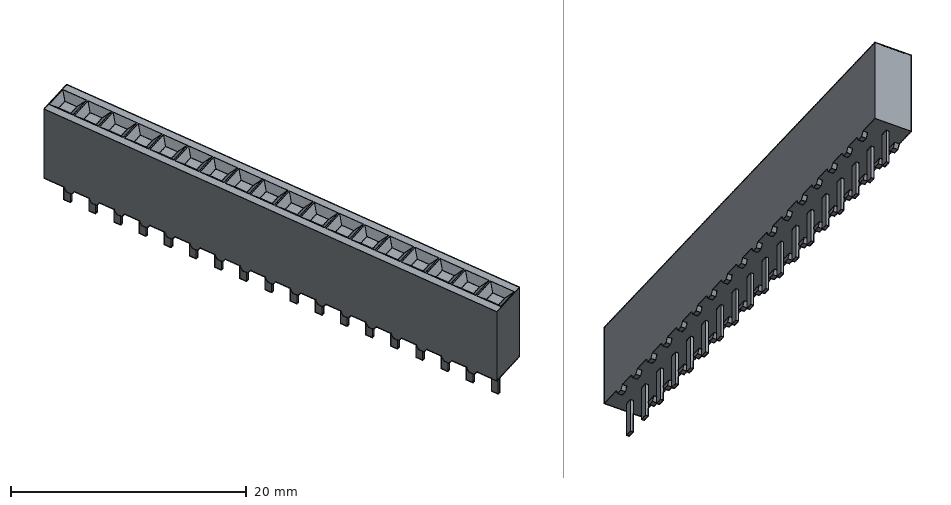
import cadquery as cq

length = 45.7
width = 3.55
total_height = 11.55
contact_count = 18
pitch = length / contact_count

pin_length = 3.4
pin_width = 0.7
pin_thickness = 0.27
body_height = total_height - pin_length

divider = 0.15
mouth_length = pitch - divider
mouth_width = 2.15
socket_depth = 0.6
floor_length = mouth_length - 2 * socket_depth
floor_width = mouth_width - 2 * socket_depth

foot_height = 0.435
foot_depth = 0.45
foot_root = 1.05
foot_tip = 0.55

contact_positions = [((i + 0.5) * pitch - length / 2, 0) for i in range(contact_count)]


def housing():
    """Plain block with its underside at Z = 0."""
    return cq.Workplane("XY").box(length, width, body_height, centered=(True, True, False))


def sockets():
    """Tapered lead-ins, one over each contact."""
    return (
        cq.Workplane("XY", origin=(0, 0, body_height))
        .pushPoints(contact_positions)
        .eachpoint(lambda place: socket().moved(place))
    )


def socket():
    """One lead-in, its mouth on the local XY plane and its floor below."""
    return (
        cq.Workplane("XY")
        .rect(mouth_length, mouth_width)
        .workplane(offset=-socket_depth)
        .rect(floor_length, floor_width)
        .loft(ruled=True)
        .val()
    )


def pins():
    """Flat solder tails, one under each contact."""
    return (
        cq.Workplane("XY")
        .pushPoints(contact_positions)
        .rect(pin_width, pin_thickness)
        .extrude(-pin_length)
    )


def foot_row(back_y):
    """Row of tapered feet between neighbouring contacts; back_y is the row's +Y side."""
    row = cq.Workplane("XZ", origin=(0, back_y, 0))
    for i in range(1, contact_count):
        x = i * pitch - length / 2
        row = row.moveTo(x - foot_root / 2, 0)
        row = row.lineTo(x - foot_tip / 2, -foot_height)
        row = row.lineTo(x + foot_tip / 2, -foot_height)
        row = row.lineTo(x + foot_root / 2, 0)
        row = row.close()
    return row.extrude(foot_depth)


result = housing().cut(sockets()).union(pins())
for back_y in (width / 2, foot_depth - width / 2):
    result = result.union(foot_row(back_y))